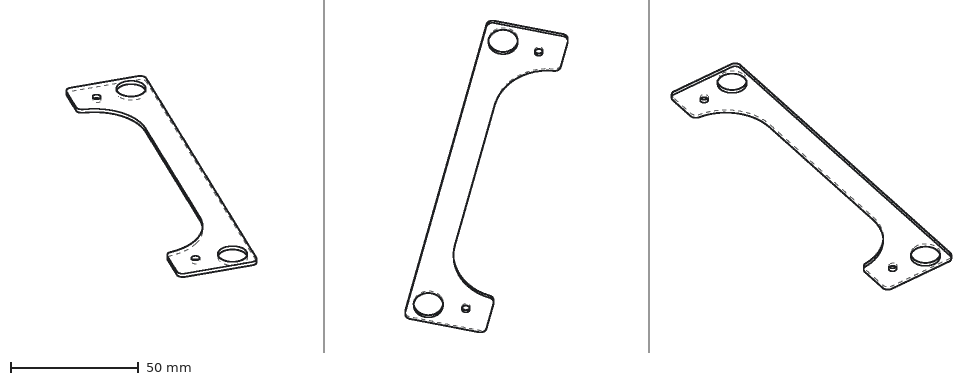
import cadquery as cq

length = 144.25
width = 32.7
thickness = 1.6
corner_radius = 2.5

bar_width = 11.7
relief_flat_length = 68.75
relief_radius = width - bar_width

large_hole_diameter = 11.5
large_hole_inset = 8.0
small_hole_diameter = 3.2
small_hole_end_inset = 9.6
small_hole_edge_inset = 10.0


def make_plate():
    """Rectangular blank with sharp corners."""
    return cq.Workplane("XY").rect(length, width).extrude(thickness).translate((0, width / 2, 0))


def make_relief():
    """Cutter with a flat top that runs tangent into a round at each end."""
    slot_length = relief_flat_length + 2 * relief_radius
    return cq.Workplane("XY").slot2D(slot_length, 2 * relief_radius).extrude(thickness)


def drill_pair(body, diameter, end_inset, y):
    """Cut two through holes mirrored about the middle of the plate."""
    x = length / 2 - end_inset
    holes = cq.Workplane("XY").pushPoints([(-x, y), (x, y)]).circle(diameter / 2).extrude(thickness)
    return body.cut(holes)


result = make_plate().cut(make_relief())

for edge_side in (">Y", "<Y"):
    result = result.edges("|Z").edges(edge_side).fillet(corner_radius)

result = drill_pair(result, large_hole_diameter, large_hole_inset, width - large_hole_inset)
result = drill_pair(result, small_hole_diameter, small_hole_end_inset, small_hole_edge_inset)